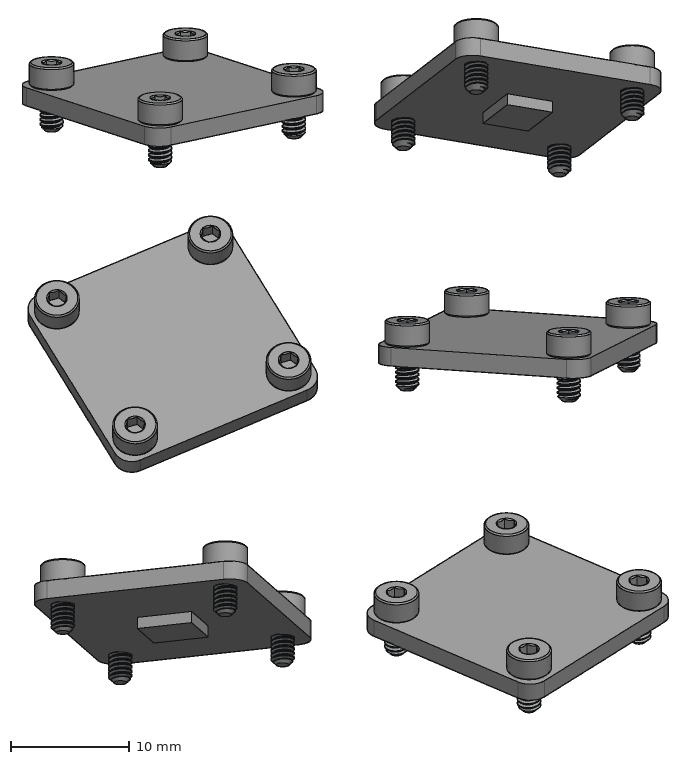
import cadquery as cq
import math

plate_side = 19.05
plate_thickness = 1.6
corner_radius = 1.6
pad_length_x = 4.23
pad_length_y = 4.88
pad_height = 1.0

screw_spacing = 14.6
head_diameter = 3.8
head_height = 2.0
head_chamfer = 0.13
socket_across_flats = 1.47
socket_depth = 1.2
socket_rim_diameter = 1.73
socket_turn = -8.5
shank_diameter = 2.0
shank_length = 4.0
tip_chamfer = 0.45
shank_turn = 21.5

thread_pitch = 0.4
thread_depth = 0.23
crest_width = thread_pitch / 5
root_width = thread_pitch / 8
thread_turns = 10
thread_top_z = -0.75 * thread_pitch
groove_overshoot = 0.048


def make_plate():
    """Rounded square plate with its pad and four plain holes that fit the screw shanks."""
    plate = (
        cq.Workplane("XY")
        .workplane(offset=-plate_thickness)
        .rect(plate_side, plate_side)
        .extrude(plate_thickness)
        .edges("|Z")
        .fillet(corner_radius)
    )
    pad = (
        cq.Workplane("XY")
        .workplane(offset=-plate_thickness - pad_height)
        .rect(pad_length_x, pad_length_y)
        .extrude(pad_height)
    )
    holes = (
        cq.Workplane("XY")
        .workplane(offset=-plate_thickness)
        .rect(screw_spacing, screw_spacing, forConstruction=True)
        .vertices()
        .circle(shank_diameter / 2)
        .extrude(plate_thickness)
    )
    return plate.union(pad).cut(holes)


def make_head():
    """Cylindrical head with chamfered rims and a hexagon socket countersunk at 45 degrees."""
    head = (
        cq.Workplane("XY")
        .circle(head_diameter / 2)
        .extrude(head_height)
        .faces("<Z or >Z")
        .edges()
        .chamfer(head_chamfer)
    )
    socket_across_corners = socket_across_flats / math.cos(math.pi / 6)
    socket = (
        cq.Workplane("XY")
        .workplane(offset=head_height - socket_depth)
        .polygon(6, socket_across_corners)
        .extrude(socket_depth)
        .rotate((0, 0, 0), (0, 0, 1), socket_turn)
    )
    rim_radius = socket_rim_diameter / 2
    countersink = cq.Workplane(
        cq.Solid.makeCone(0, rim_radius, rim_radius, pnt=cq.Vector(0, 0, head_height - rim_radius))
    )
    return head.cut(socket).cut(countersink)


def make_thread_groove():
    """Helical cutter with a trapezoid section, narrow at the thread root and wide at the crest."""
    shank_radius = shank_diameter / 2
    root_radius = shank_radius - thread_depth
    outer_radius = shank_radius + groove_overshoot
    half_root = root_width / 2
    half_mouth = (thread_pitch - crest_width) / 2
    flank_slope = (half_mouth - half_root) / thread_depth
    half_outer = half_mouth + flank_slope * groove_overshoot

    groove_length = thread_turns * thread_pitch
    helix = cq.Wire.makeHelix(thread_pitch, groove_length, shank_radius)
    groove = (
        cq.Workplane("XZ")
        .moveTo(root_radius, -half_root)
        .lineTo(outer_radius, -half_outer)
        .lineTo(outer_radius, half_outer)
        .lineTo(root_radius, half_root)
        .close()
        .sweep(cq.Workplane(helix), isFrenet=True)
    )
    return groove.translate((0, 0, thread_top_z - groove_length))


def make_screw():
    """Cap screw on the Z axis whose head rests on Z = 0 and whose threaded shank points down."""
    shank = (
        cq.Workplane("XY")
        .workplane(offset=-shank_length)
        .circle(shank_diameter / 2)
        .extrude(shank_length)
        .faces("<Z")
        .chamfer(tip_chamfer)
        .rotate((0, 0, 0), (0, 0, 1), shank_turn)
    )
    return make_head().union(shank.cut(make_thread_groove()))


plate = make_plate()

screw = make_screw()
screws = []
for x_sign in (-1, 1):
    for y_sign in (-1, 1):
        place = (x_sign * screw_spacing / 2, y_sign * screw_spacing / 2, 0)
        screws.append(screw.translate(place).solids().val())

result = cq.Compound.makeCompound([plate.solids().val(), *screws])